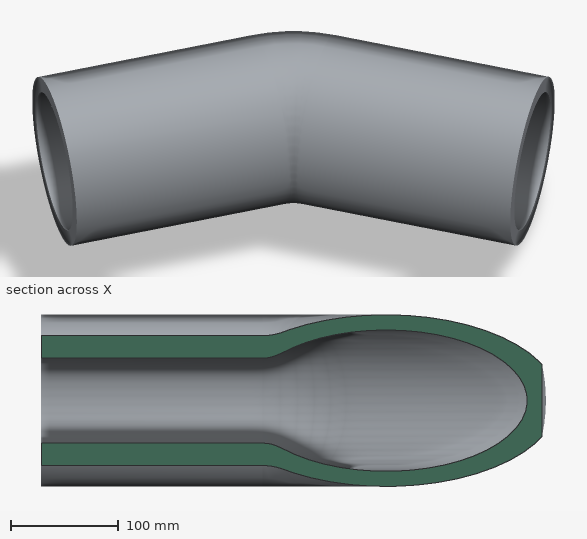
import cadquery as cq
import math

outer_diameter = 160.0
bore_diameter = 131.0
leg_length = 206.0
bend_radius = 89.5
bend_angle = 30.0

angle = math.radians(bend_angle)
far_direction = (math.sin(angle), math.cos(angle), 0)
bend_end = (
    bend_radius * (1 - math.cos(angle)),
    leg_length + bend_radius * math.sin(angle),
    0,
)

near_plane = cq.Plane(origin=(0, 0, 0), xDir=(1, 0, 0), normal=(0, 1, 0))
bend_plane = cq.Plane(origin=(0, leg_length, 0), xDir=(1, 0, 0), normal=(0, 1, 0))
far_plane = cq.Plane(origin=bend_end, xDir=(0, 0, 1), normal=far_direction)


def ring(plane):
    """Cross-section of the pipe wall."""
    return cq.Workplane(plane).circle(outer_diameter / 2).circle(bore_diameter / 2)


def straight_leg(plane):
    return ring(plane).extrude(leg_length)


def bend():
    """Pipe wall turned about the vertical axis through the bend centre."""
    axis_start = (bend_radius, 0)
    axis_end = (bend_radius, 1)
    return ring(bend_plane).revolve(bend_angle, axis_start, axis_end)


result = straight_leg(near_plane).union(bend()).union(straight_leg(far_plane))